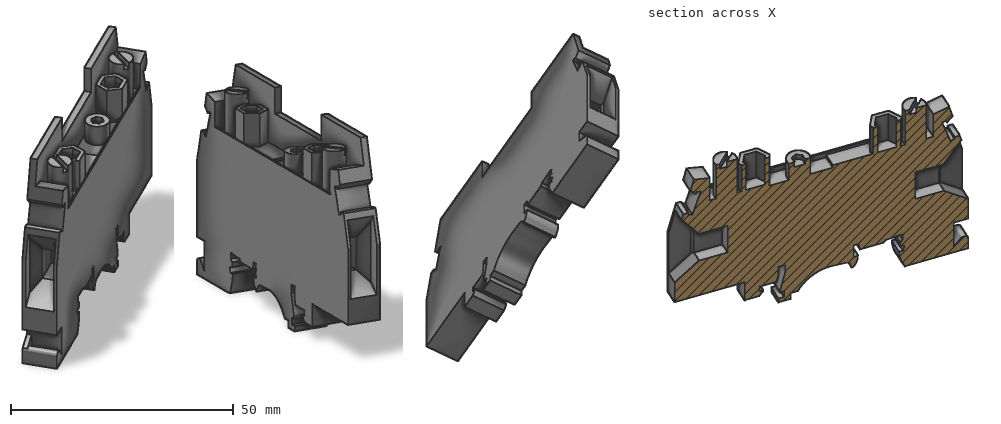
import cadquery as cq
import math

length = 71.8
width = 8.2
height = 50.4
half_length = length / 2

base_z = 8.9
deck_z = 44.2
plate_thickness = 1.65
plate_window = 22.0

block_outer_y = 31.2
trough_half = 27.3
block_inner_z = 43.3
wall_top_z = 37.35
wall_thickness = 0.35
floor_z = 36.6
centre_floor_z = 35.9
centre_floor_length = 16.1

screw_x = 4.9
terminal_screw_y = (23.2, -23.05)
terminal_screw_diameter = 5.45
terminal_screw_top = 46.7
driver_slot_width = 1.15
driver_slot_depth = 1.45
cap_screw_y = 5.3
cap_screw_diameter = 5.6
cap_screw_top = 40.8
socket_across_flats = 2.6
socket_depth = 1.45
sleeve_y = (16.15, -16.0)
sleeve_across_flats = 6.7
sleeve_width = 6.2
sleeve_wall = 1.0
sleeve_top = 44.45

funnel_back_y = 29.95
wire_bore_end_y = 23.0
funnel_mouth_bottom = 14.9
funnel_mouth_top = 35.3
funnel_back_bottom = 19.45
funnel_back_top = 27.3
funnel_mouth_x = (0.85, 7.5)
funnel_back_x = (2.9, 7.0)
funnel_taper_start_y = (33.0, 30.45)

foot_notch_y = -32.4
toe_top_z = 4.1
groove_z = 1.9
toe_round = 1.1
web_thickness = 1.15
slot_top_z = 10.6
overlap = 0.7


def slab(points, start_x=0.0, end_x=width):
    """Solid with a straight-sided (y, z) outline between two X positions."""
    return cq.Workplane("YZ", origin=(start_x, 0, 0)).polyline(points).close().extrude(end_x - start_x)


def box(x_range, y_range, z_range):
    sizes = [high - low for low, high in (x_range, y_range, z_range)]
    corner = (x_range[0], y_range[0], z_range[0])
    return cq.Workplane("XY").box(*sizes, centered=False).translate(corner)


def post(y, bottom, top):
    """Starting plane and rise of an upright feature on the screw line."""
    return cq.Workplane("XY", origin=(screw_x, y, bottom)), top - bottom


def hexagon_prism(y, bottom, top, across_flats, turn):
    plane, rise = post(y, bottom, top)
    corner_diameter = across_flats / math.cos(math.pi / 6)
    prism = plane.polygon(6, corner_diameter).extrude(rise)
    return prism.rotate((screw_x, y, 0), (screw_x, y, 1), turn)


def housing():
    """Symmetric outline with a snap-in marker recess in each end."""
    end_outline = [
        (half_length, base_z),
        (half_length, 26.9),
        (33.8, 34.7),
        (32.5, 34.7),
        (32.45, 34.2),
        (31.6, 33.75),
        (29.6, 39.9),
        (30.4, 40.1),
        (30.7, 39.55),
        (32.1, 41.0),
        (29.65, height),
    ]
    other_end = [(-y, z) for y, z in reversed(end_outline)]
    body = slab(end_outline + other_end)
    window = box((0, width), (-plate_window / 2, plate_window / 2), (deck_z, height))
    return body.cut(window)


def trough():
    """Space to clear above the end blocks and the trough floor."""
    inside = (plate_thickness, width - wall_thickness)
    above_blocks = slab(
        [
            (half_length, height),
            (half_length, deck_z),
            (block_outer_y, deck_z),
            (trough_half, block_inner_z),
            (trough_half, wall_top_z),
            (-trough_half, wall_top_z),
            (-trough_half, block_inner_z),
            (-block_outer_y, deck_z),
            (-half_length, deck_z),
            (-half_length, height),
        ],
        plate_thickness,
    )
    floor = box(inside, (-trough_half, trough_half), (floor_z, wall_top_z))
    centre_start = cap_screw_y - centre_floor_length / 2
    centre_range = (centre_start, centre_start + centre_floor_length)
    centre = box(inside, centre_range, (centre_floor_z, wall_top_z))
    return above_blocks.union(floor).union(centre)


def wire_funnel():
    """Wire entry in the -Y end: a taper on all four sides, then a straight bore."""
    side_shape = slab([
        (-half_length, funnel_mouth_bottom),
        (-funnel_back_y, funnel_back_bottom),
        (-funnel_back_y, funnel_back_top),
        (-half_length, funnel_mouth_top),
    ])
    plan_outline = [
        (funnel_mouth_x[0], -half_length),
        (funnel_mouth_x[0], -funnel_taper_start_y[0]),
        (funnel_back_x[0], -funnel_back_y),
        (funnel_back_x[1], -funnel_back_y),
        (funnel_mouth_x[1], -funnel_taper_start_y[1]),
        (funnel_mouth_x[1], -half_length),
    ]
    plan_shape = cq.Workplane("XY").polyline(plan_outline).close().extrude(height)
    bore = box(funnel_back_x, (-funnel_back_y, -wire_bore_end_y), (funnel_back_bottom, funnel_back_top))
    return side_shape.intersect(plan_shape).union(bore)


def hook_lug():
    """Small hooked lug on the +Y side of the spring foot."""
    return slab([
        (18.8, base_z + overlap),
        (18.8, 3.5),
        (15.2, 3.5),
        (14.2, 4.75),
        (14.2, 5.0),
        (15.1, 5.0),
        (15.1, 6.3),
        (10.9, 6.3),
        (10.5, 8.3),
        (10.5, base_z + overlap),
    ])


def spring_foot():
    """Middle foot with an arched underside and a rail claw on its -Y side."""
    outline = (
        cq.Workplane("YZ")
        .moveTo(9.0, base_z + overlap)
        .lineTo(9.0, 8.3)
        .lineTo(10.1, 3.8)
        .lineTo(10.1, 2.9)
        .lineTo(9.2, 2.9)
        .lineTo(9.2, 1.3)
        .lineTo(10.55, 1.3)
        .lineTo(10.55, 0)
        .lineTo(7.5, 0)
        .lineTo(7.5, 1.7)
        .lineTo(5.75, 1.7)
        .threePointArc((2.3, 5.2), (-2.6, 6.3))
        .lineTo(-5.75, 6.1)
        .threePointArc((-6.6, 5.8), (-7.05, 5.2))
        .lineTo(-7.4, 4.2)
        .lineTo(-7.7, 4.2)
        .threePointArc((-8.7, 5.6), (-9.0, 7.3))
        .lineTo(-7.9, 7.3)
        .lineTo(-7.9, base_z + overlap)
        .close()
    )
    return outline.extrude(width)


def fixed_foot():
    """Foot at the -Y end, with a rail groove inside and a rounded toe outside."""
    toe_centre_y = -half_length + toe_round
    toe_centre_z = toe_top_z - toe_round
    toe_rise = toe_round * math.sin(math.pi / 4)
    outline = (
        cq.Workplane("YZ")
        .moveTo(foot_notch_y, base_z + overlap)
        .lineTo(foot_notch_y, groove_z)
        .lineTo(toe_centre_y + toe_rise, toe_centre_z + toe_rise)
        .threePointArc((toe_centre_y, toe_top_z), (-half_length, toe_centre_z))
        .lineTo(-half_length, 0)
        .lineTo(-20.4, 0)
        .threePointArc((-19.25, 2.65), (-18.9, 5.0))
        .lineTo(-19.9, 5.0)
        .lineTo(-20.25, 6.25)
        .lineTo(-19.2, 6.5)
        .lineTo(-19.2, 7.75)
        .lineTo(-19.8, 8.3)
        .lineTo(-19.8, base_z + overlap)
        .close()
    )
    web = slab(
        [(foot_notch_y, groove_z), (foot_notch_y, 5.7), (-35.55, 3.9), (-35.55, groove_z)],
        0.0,
        web_thickness,
    )
    return outline.extrude(width).union(web)


def underside_reliefs():
    """Slots either side of the spring foot and the shallow rail seat."""
    lug_slot = slab([(10.5, base_z), (10.5, slot_top_z), (9.0, slot_top_z), (9.0, base_z)])
    claw_slot = slab([(-7.9, base_z), (-7.9, slot_top_z), (-9.0, slot_top_z), (-9.4, base_z)])
    rail_seat = slab([(-15.2, base_z), (-15.7, 9.55), (-19.8, 9.8), (-19.8, base_z)])
    return lug_slot.union(claw_slot).union(rail_seat)


def terminal_screw(y):
    plane, rise = post(y, floor_z - overlap, terminal_screw_top)
    screw = plane.circle(terminal_screw_diameter / 2).extrude(rise)
    slot_plane, depth = post(y, terminal_screw_top - driver_slot_depth, terminal_screw_top)
    slot = slot_plane.rect(2 * terminal_screw_diameter, driver_slot_width).extrude(depth)
    slot = slot.rotate((screw_x, y, 0), (screw_x, y, 1), -45)
    return screw.cut(slot)


def cap_screw():
    plane, rise = post(cap_screw_y, centre_floor_z - overlap, cap_screw_top)
    screw = plane.circle(cap_screw_diameter / 2).extrude(rise)
    socket_floor = cap_screw_top - socket_depth
    socket = hexagon_prism(cap_screw_y, socket_floor, cap_screw_top, socket_across_flats, 0)
    return screw.cut(socket)


def sleeve_outline(y, bottom, inset):
    """Hexagonal column up to the sleeve top, with its X-facing flats cut back."""
    column = hexagon_prism(y, bottom, sleeve_top, sleeve_across_flats - 2 * inset, 30)
    plane, rise = post(y, bottom, sleeve_top)
    return column.intersect(plane.rect(sleeve_width - 2 * inset, 2 * sleeve_across_flats).extrude(rise))


def sleeve(y):
    outside = sleeve_outline(y, centre_floor_z - overlap, 0)
    bore = sleeve_outline(y, floor_z, sleeve_wall)
    return outside.cut(bore)


result = housing()
for foot in (hook_lug(), spring_foot(), fixed_foot()):
    result = result.union(foot)
result = result.cut(underside_reliefs()).cut(trough())

funnel = wire_funnel()
result = result.cut(funnel).cut(funnel.mirror("XZ"))

for centre_y in sleeve_y:
    result = result.union(sleeve(centre_y))
for centre_y in terminal_screw_y:
    result = result.union(terminal_screw(centre_y))
result = result.union(cap_screw())